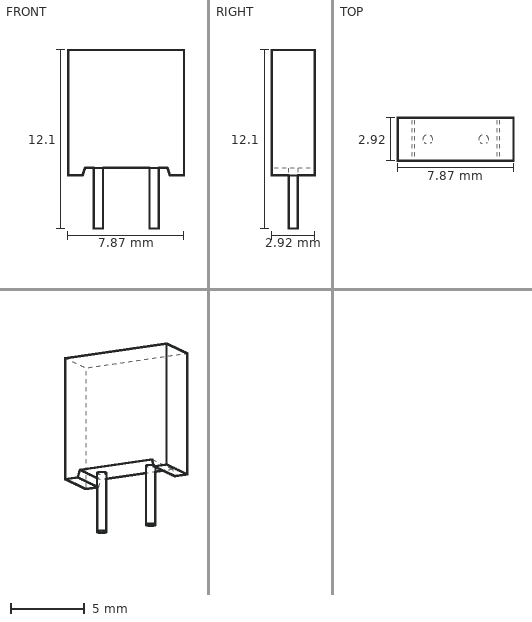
import cadquery as cq

total_height = 12.13
body_width = 7.87
body_depth = 2.92
foot_height = 3.61

recess_height = 0.51
recess_top_width = 5.58
recess_bottom_width = 5.91

pin_diameter = 0.64
pin_spacing = 3.8

recess_level = foot_height + recess_height


def make_body():
    """Upright block whose underside has a tapered recess between two feet."""
    half_width = body_width / 2
    half_top = recess_top_width / 2
    half_bottom = recess_bottom_width / 2
    return (
        cq.Workplane("XZ")
        .moveTo(-half_width, foot_height)
        .lineTo(-half_width, total_height)
        .lineTo(half_width, total_height)
        .lineTo(half_width, foot_height)
        .lineTo(half_bottom, foot_height)
        .lineTo(half_top, recess_level)
        .lineTo(-half_top, recess_level)
        .lineTo(-half_bottom, foot_height)
        .close()
        .extrude(body_depth / 2, both=True)
    )


def make_pin(x):
    """Round pin that ends against the roof of the recess."""
    return cq.Workplane("XY").center(x, 0).circle(pin_diameter / 2).extrude(recess_level)


body = make_body()
pins = [make_pin(side * pin_spacing / 2) for side in (-1, 1)]

result = cq.Compound.makeCompound([body.val(), *[pin.val() for pin in pins]])